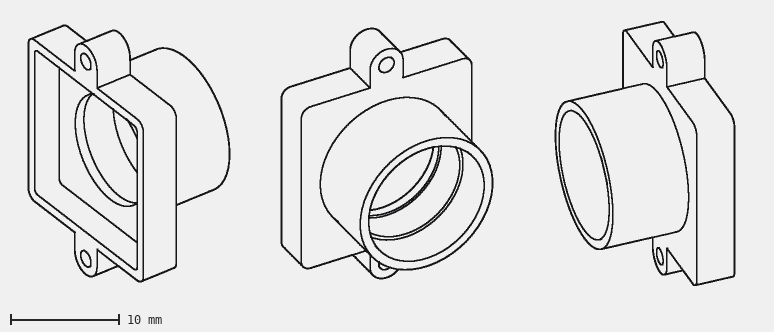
import cadquery as cq

plate_side = 18.0
plate_depth = 3.77
corner_radius = 1.0
wall = 1.0
pocket_side = plate_side - 2 * wall
pocket_depth = 2.8
pocket_corner_radius = corner_radius / 2

total_depth = 11.3
barrel_diameter = 14.0

throat_diameter = 11.0
throat_length = 1.0
middle_diameter = 11.5
middle_length = 3.51
rear_diameter = 12.2
middle_start = pocket_depth + throat_length
rear_start = middle_start + middle_length

total_height = 25.45
ear_width = 3.5
ear_hole_diameter = 1.6
ear_center_z = (total_height - ear_width) / 2


def section(start):
    """Workplane at depth `start`, extruding toward +Y, with local Y along -Z."""
    return cq.Workplane("XZ", origin=(0, start, 0)).transformed(rotate=(180, 0, 0))


def cylinder(diameter, start, end, z=0):
    """Cylinder along Y between two depths, centered at height z."""
    return section(start).center(0, -z).circle(diameter / 2).extrude(end - start)


def rounded_block(side, depth, radius):
    """Square block from the front face, with its depthwise edges rounded."""
    return section(0).rect(side, side).extrude(depth).edges("|Y").fillet(radius)


body = rounded_block(plate_side, plate_depth, corner_radius)
body = body.union(cylinder(barrel_diameter, plate_depth, total_depth))

ear_bar = section(0).slot2D(total_height, ear_width, 90).extrude(plate_depth)
body = body.union(ear_bar)

body = body.cut(rounded_block(pocket_side, pocket_depth, pocket_corner_radius))

body = body.cut(cylinder(throat_diameter, pocket_depth, total_depth))
body = body.cut(cylinder(middle_diameter, middle_start, total_depth))
body = body.cut(cylinder(rear_diameter, rear_start, total_depth))

for hole_z in (-ear_center_z, ear_center_z):
    body = body.cut(cylinder(ear_hole_diameter, 0, plate_depth, hole_z))

result = body